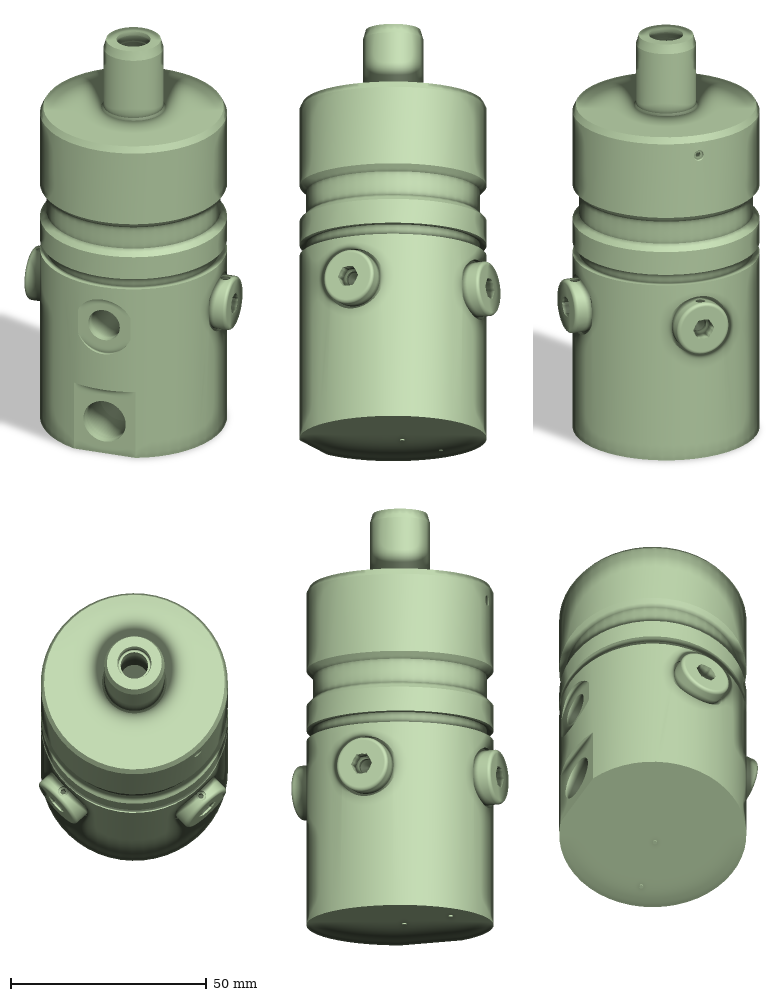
import cadquery as cq
import math

total_height = 108.0
pip_height = 0.3

body_radius = 24.0
groove_radius = 44.6 / 2
body_bottom = pip_height
narrow_groove_bottom = 48.4
narrow_groove_top = 51.3
wide_groove_bottom = 57.6
wide_groove_top = 67.0
groove_slope = body_radius - groove_radius
body_top = 88.8
top_chamfer_width = 0.9
top_chamfer_height = 1.6

shaft_radius = 15.4 / 2
shaft_tip_radius = 14.0 / 2
shaft_tip_height = 2.4
shaft_root = 0.5

bore_mouth_radius = 8.7 / 2
counterbore_radius = 8.3 / 2
bore_radius = 7.0 / 2
bore_chamfer_depth = 1.0
counterbore_depth = 2.5
bore_depth = 15.1

port_height = 37.0
spot_face_radius = 15.5 / 2
spot_face_distance = 22.9
open_port_radius = 8.5 / 2
side_hole_depth = 13.0
drill_tip_angle = 118.0

plug_radius = 14.0 / 2
plug_end_distance = 54.8 / 2
plug_rim_fillet = 0.9
socket_radius = 5.2 / 2
socket_across_flats = 5.0
socket_depth = 3.2
socket_drill_radius = 3.8 / 2
socket_drill_depth = 4.3

screw_radius = 2.5 / 2
screw_mouth_chamfer = 0.16
screw_recess = 0.6
screw_across_flats = 1.3
screw_socket_depth = 1.1
body_screw_height = 83.5
plug_screw_distance = 25.0

pad_half_width = 8.3
pad_top = 19.1
pad_distance = math.sqrt(body_radius**2 - pad_half_width**2)
connection_radius = 11.5 / 2
connection_height = 9.4

pip_radius = 0.5
pip_centres = [(-16.2, 5.9), (-1.8, 1.7)]

FRONT, RIGHT, BACK, LEFT = -90, 0, 90, 180


def radial_plane(angle, distance, height):
    """Plane facing outward from the body axis, its local X horizontal."""
    direction = (math.cos(math.radians(angle)), math.sin(math.radians(angle)), 0)
    origin = (distance * direction[0], distance * direction[1], height)
    across = (-direction[1], direction[0], 0)
    return cq.Plane(origin=origin, xDir=across, normal=direction)


def drill(plane, radius, depth):
    """Blind drilled hole going in from the plane, with a conical tip."""
    tip_depth = radius / math.tan(math.radians(drill_tip_angle / 2))
    half_profile = [(0, 0), (radius, 0), (radius, -depth), (0, -depth - tip_depth)]
    side = cq.Plane(origin=plane.origin, xDir=plane.xDir, normal=-plane.yDir)
    return cq.Workplane(side).polyline(half_profile).close().revolve(360, (0, 0), (0, 1))


def hexagon(plane, across_flats, depth):
    """Hexagonal prism going in from the plane, corners along local X."""
    across_corners = across_flats / math.cos(math.radians(30))
    return cq.Workplane(plane).polygon(6, across_corners).extrude(-depth)


def disc(plane, radius, depth):
    return cq.Workplane(plane).circle(radius).extrude(-depth)


def turned_body():
    body_outline = [
        (0, body_bottom),
        (body_radius, body_bottom),
        (body_radius, narrow_groove_bottom),
        (groove_radius, narrow_groove_bottom),
        (groove_radius, narrow_groove_top),
        (body_radius, narrow_groove_top),
        (body_radius, wide_groove_bottom),
        (groove_radius, wide_groove_bottom + groove_slope),
        (groove_radius, wide_groove_top - groove_slope),
        (body_radius, wide_groove_top),
        (body_radius, body_top - top_chamfer_height),
        (body_radius - top_chamfer_width, body_top),
        (shaft_radius + shaft_root, body_top),
        (shaft_radius, body_top + shaft_root),
        (shaft_radius, total_height - shaft_tip_height),
        (shaft_tip_radius, total_height),
        (0, total_height),
    ]
    return cq.Workplane("XZ").polyline(body_outline).close().revolve(360, (0, 0), (0, 1))


def shaft_bore():
    bore_outline = [
        (0, total_height),
        (bore_mouth_radius, total_height),
        (counterbore_radius, total_height - bore_chamfer_depth),
        (counterbore_radius, total_height - counterbore_depth),
        (bore_radius, total_height - counterbore_depth),
        (bore_radius, total_height - bore_depth),
        (0, total_height - bore_depth),
    ]
    return cq.Workplane("XZ").polyline(bore_outline).close().revolve(360, (0, 0), (0, 1))


def spot_face(angle):
    outer = radial_plane(angle, body_radius, port_height)
    return disc(outer, spot_face_radius, body_radius - spot_face_distance)


def set_screw(plane):
    """Recess of a set screw together with its hexagon socket."""
    socket = hexagon(plane, screw_across_flats, screw_recess + screw_socket_depth)
    recess = disc(plane, screw_radius, screw_recess)
    mouth_radius = screw_radius + screw_mouth_chamfer
    mouth = cq.Solid.makeCone(mouth_radius, screw_radius, screw_mouth_chamfer, plane.origin, -plane.zDir)
    return recess.union(socket).union(cq.Workplane(mouth))


def plug(angle):
    end = radial_plane(angle, plug_end_distance, port_height)
    overlap = 1.1
    body = disc(end, plug_radius, plug_end_distance - spot_face_distance + overlap)
    rim = cq.selectors.NearestToPointSelector(end.origin.toTuple())
    return body.faces(rim).edges().fillet(plug_rim_fillet)


def plug_socket(angle):
    end = radial_plane(angle, plug_end_distance, port_height)
    socket = disc(end, socket_radius, socket_depth)
    socket = socket.union(hexagon(end, socket_across_flats, socket_depth))
    return socket.union(drill(end, socket_drill_radius, socket_drill_depth))


def plug_screw(angle):
    centre = radial_plane(angle, plug_screw_distance, port_height + plug_radius).origin
    return set_screw(cq.Plane(origin=centre, xDir=(1, 0, 0), normal=(0, 0, 1)))


def connection_pad():
    pad_depth = body_radius - pad_distance
    return (
        cq.Workplane("XY")
        .box(2 * pad_half_width, pad_depth, pad_top - body_bottom, centered=(True, False, False))
        .translate((0, -body_radius, body_bottom))
    )


result = turned_body().cut(shaft_bore())

result = result.cut(spot_face(FRONT))
open_port = radial_plane(FRONT, spot_face_distance, port_height)
result = result.cut(drill(open_port, open_port_radius, side_hole_depth))
result = result.cut(connection_pad())
connection = radial_plane(FRONT, pad_distance, connection_height)
result = result.cut(drill(connection, connection_radius, side_hole_depth))

for port_angle in (RIGHT, BACK, LEFT):
    result = result.cut(spot_face(port_angle))
    result = result.union(plug(port_angle))
    result = result.cut(plug_socket(port_angle))
    result = result.cut(plug_screw(port_angle))

result = result.cut(set_screw(radial_plane(LEFT, body_radius, body_screw_height)))

pips = cq.Workplane("XY").pushPoints(pip_centres).circle(pip_radius).extrude(2 * pip_height)
result = result.union(pips)